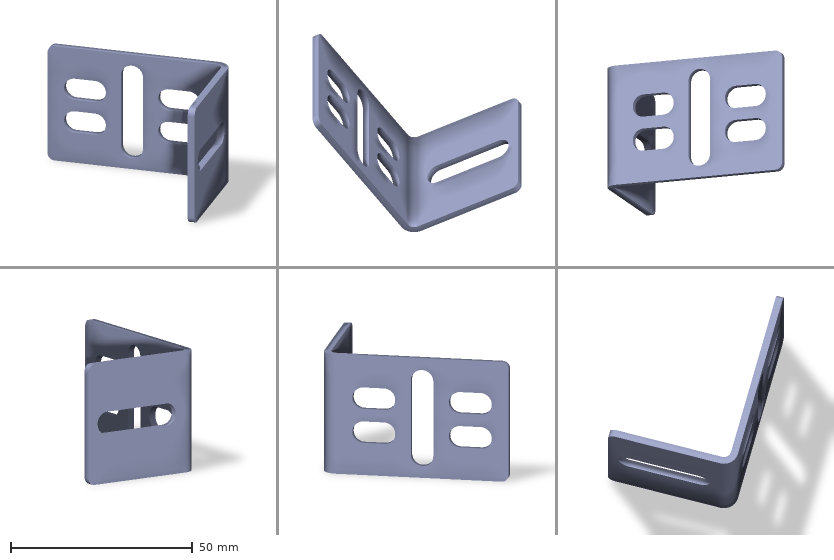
import cadquery as cq

length = 52.5
depth = 36.0
height = 34.0
thickness = 2.0
inner_bend_radius = 2.0
outer_bend_radius = inner_bend_radius + thickness
corner_radius = 2.0

slot_width = 6.3
small_slot_length = 12.0
small_slot_pitch_x = 27.1
small_slot_pitch_z = 9.7
tall_slot_length = 27.55
slot_group_x = 24.3
side_slot_length = 25.95
side_slot_inset = 15.95

mid_height = height / 2


def bent_sheet():
    """L-shaped sheet with its outer faces on Y = 0 and X = length."""
    sheet = (
        cq.Workplane("XY")
        .polyline([
            (0, 0),
            (length, 0),
            (length, -depth),
            (length - thickness, -depth),
            (length - thickness, -thickness),
            (0, -thickness),
        ])
        .close()
        .extrude(height)
    )
    outer_bend = cq.selectors.NearestToPointSelector((length, 0, mid_height))
    inner_bend = cq.selectors.NearestToPointSelector(
        (length - thickness, -thickness, mid_height)
    )
    sheet = sheet.edges(outer_bend).fillet(outer_bend_radius)
    return sheet.edges(inner_bend).fillet(inner_bend_radius)


def round_free_corners(sheet):
    """Round the two corners at the free end of each leg."""
    sheet = sheet.faces("<X").edges("|Y").fillet(corner_radius)
    return sheet.faces("<Y").edges("|X").fillet(corner_radius)


def long_leg_slots():
    """One upright slot between two pairs of short level slots."""
    plane = cq.Workplane("XZ", origin=(slot_group_x, 0, mid_height))
    tall = plane.slot2D(tall_slot_length, slot_width, 90).extrude(thickness)
    small = (
        plane.rarray(small_slot_pitch_x, small_slot_pitch_z, 2, 2)
        .slot2D(small_slot_length, slot_width)
        .extrude(thickness)
    )
    return tall.union(small)


def short_leg_slot():
    """Level slot through the short leg."""
    centre = (length - thickness, side_slot_inset - depth, mid_height)
    return (
        cq.Workplane("YZ", origin=centre)
        .slot2D(side_slot_length, slot_width)
        .extrude(thickness)
    )


result = round_free_corners(bent_sheet()).cut(long_leg_slots()).cut(short_leg_slot())